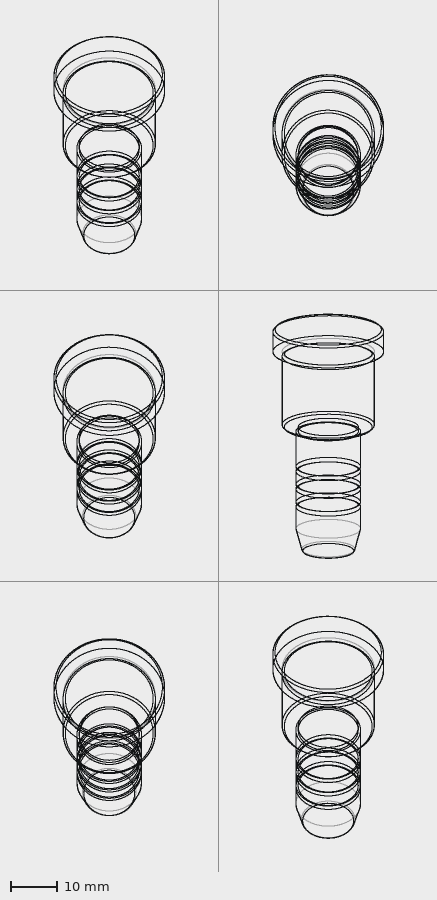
import cadquery as cq
import math

total_length = 50.0
head_radius = 12.0
head_thickness = 5.0
body_radius = 10.0
body_bottom_z = 28.0
stem_radius = 7.0

chamfer = 0.5
groove_radius = 0.5
neck_depth = 0.5
neck_length = 1.0

first_groove_z = 18.5
groove_pitch = 4.0
groove_count = 3

taper_length = 5.0
taper_angle = 15.0
tip_chamfer_height = 0.4
tip_chamfer_width = 0.25

head_bottom_z = total_length - head_thickness


def cylinder(radius, bottom_z, top_z):
    return cq.Workplane("XY").workplane(offset=bottom_z).circle(radius).extrude(top_z - bottom_z)


def revolve_profile(points):
    """Turn a closed outline of (radius, height) points about the Z axis."""
    return cq.Workplane("XZ").polyline(points).close().revolve(360, (0, 0), (0, 1))


def round_groove(radius, center_z):
    """Ring that cuts a half-round groove into a cylinder of the given radius."""
    section = cq.Workplane("XZ").center(radius, center_z).circle(groove_radius)
    return section.revolve(360, (-radius, 0), (-radius, 1))


def tapered_tip():
    taper_slope = math.tan(math.radians(taper_angle))
    tip_radius = stem_radius - (taper_length - tip_chamfer_height) * taper_slope
    return revolve_profile([
        (0, 0),
        (tip_radius - tip_chamfer_width, 0),
        (tip_radius, tip_chamfer_height),
        (stem_radius, taper_length),
        (0, taper_length),
    ])


head = cylinder(head_radius, head_bottom_z, total_length).faces(">Z").chamfer(chamfer)
body = cylinder(body_radius, body_bottom_z, head_bottom_z).faces("<Z").chamfer(chamfer)
body = body.cut(round_groove(body_radius, head_bottom_z - groove_radius))

neck_bottom_z = body_bottom_z - neck_length
neck = cylinder(stem_radius - neck_depth, neck_bottom_z, body_bottom_z)
stem = cylinder(stem_radius, taper_length, neck_bottom_z)
for index in range(groove_count):
    stem = stem.cut(round_groove(stem_radius, first_groove_z - index * groove_pitch))

result = head.union(body).union(neck).union(stem).union(tapered_tip())